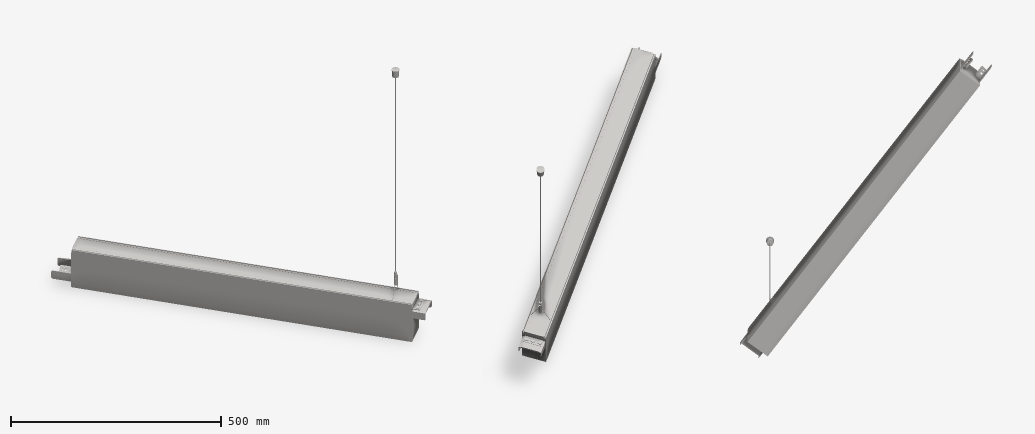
import cadquery as cq

TOTAL_LENGTH = 924.6
TOTAL_HEIGHT = 766.34

HOUSING_WIDTH = 60.0
HOUSING_HEIGHT = 108.5
BLADE_REACH = 50.0
CONNECTOR_REACH = 32.6
HOUSING_LENGTH = TOTAL_LENGTH - BLADE_REACH - CONNECTOR_REACH
SIDE_WALL = 2.0
GROOVE_WIDTH = 2.0
GROOVE_DEPTH = 6.0
LIP_WIDTH = 5.0
PANEL_RECESS = 0.5
END_PLATE = 1.0
END_PLATE_CHAMFER = 8.0

SHEET = 1.5
BRACKET_HALF_WIDTH = 28.0
BLADE_BOTTOM = 14.5
BLADE_TOP = 38.0
BLADE_CHAMFER = 3.0
FLANGE_LENGTH = 31.0
FLANGE_TOP = 47.5
FLANGE_OUTER_Y = 17.0
FLANGE_INNER_Y = 12.5
FLANGE_RELIEF_LENGTH = 5.0
FLANGE_CHAMFER = 2.0
BRACKET_HOLE_DIAMETER = 5.0
BRACKET_HOLE_X = -16.0
BRACKET_SLOT_X = -24.0
BRACKET_SLOT_WIDTH = 1.5
BRACKET_SLOT_LENGTH = 7.0

CONNECTOR_BOTTOM = 68.0
CONNECTOR_TOP = 91.0
CONNECTOR_SLOPE_DROP = 3.0
CONNECTOR_SLOPE_WIDTH = 9.0
CONNECTOR_NOSE_CHAMFER = 2.5
STRIP_LENGTH = 17.0
STRIP_WIDTH = 44.0
STRIP_HEIGHT = 1.0
TERMINAL_START = 7.0
TERMINAL_LENGTH = 6.0
TERMINAL_WIDTH = 10.0
TERMINAL_HEIGHT = 3.0
TERMINAL_PITCH = 16.0
TERMINAL_COUNT = 3

WIRE_FROM_END = 49.2
WIRE_X = HOUSING_LENGTH - WIRE_FROM_END
WIRE_DIAMETER = 1.5
LEG_DIAMETER = 1.2
CUP_DIAMETER = 16.0
CUP_RIM_DIAMETER = 20.0
CUP_HEIGHT = 20.0
CUP_RIM_HEIGHT = 2.0
CLAMP_BOTTOM = 138.0
CLAMP_SPLIT = 158.0
CLAMP_TOP = 169.0
CLAMP_DIAMETER = 8.5
CLAMP_UPPER_DIAMETER = 8.0
CLAMP_LEVER_REACH = 6.0
CLAMP_LEVER_WIDTH = 4.0
NECK_DIAMETER = 7.0
NECK_TOP = 176.0
LEG_START_Z = 145.0
LEG_SHOULDER_Y = 9.0
LEG_SHOULDER_Z = 140.0
LEG_FOOT_Y = HOUSING_WIDTH / 2 - SIDE_WALL - GROOVE_WIDTH - LEG_DIAMETER / 2


def box(x0, x1, y0, y1, z0, z1):
    """Axis-aligned box between two opposite corners."""
    return cq.Workplane("XY").box(x1 - x0, y1 - y0, z1 - z0, centered=False).translate((x0, y0, z0))


def cylinder(x, y, diameter, z0, z1):
    """Upright cylinder between two heights."""
    return cq.Workplane("XY", origin=(x, y, z0)).circle(diameter / 2).extrude(z1 - z0)


def rod(start, end, diameter):
    """Straight round rod with a ball at its start, so that rods join at bends."""
    start, end = cq.Vector(*start), cq.Vector(*end)
    axis = end - start
    solid = cq.Solid.makeCylinder(diameter / 2, axis.Length, start, axis)
    ball = cq.Workplane("XY").sphere(diameter / 2).translate(start.toTuple())
    return ball.union(cq.Workplane(solid))


def both_sides(solid):
    """The solid together with its mirror image about the mid plane Y = 0."""
    return solid.union(solid.mirror("XZ"))


def make_housing():
    """Long body with a wire groove along each top edge and a plate at each end."""
    half = HOUSING_WIDTH / 2
    groove_outer = half - SIDE_WALL
    groove_inner = groove_outer - GROOVE_WIDTH
    panel_half = groove_inner - LIP_WIDTH
    x0, x1 = END_PLATE, HOUSING_LENGTH - END_PLATE
    top = HOUSING_HEIGHT
    body = box(x0, x1, -half, half, 0, top)
    body = body.cut(box(x0, x1, -panel_half, panel_half, top - PANEL_RECESS, top))
    body = body.cut(both_sides(box(x0, x1, groove_inner, groove_outer, top - GROOVE_DEPTH, top)))
    for x in (0, x1):
        plate = box(x, x + END_PLATE, -half, half, 0, top)
        body = body.union(plate.edges("|X and >Z").chamfer(END_PLATE_CHAMFER))
    return body


def make_blade_brackets():
    """Pair of bent sheets: an upright blade, a sloping web and a level flange."""
    outer = BRACKET_HALF_WIDTH
    blade = box(-BLADE_REACH, 0, outer - SHEET, outer, BLADE_BOTTOM, BLADE_TOP)
    blade = blade.edges("|Y and <X").chamfer(BLADE_CHAMFER)
    shoulder = (
        cq.Workplane("YZ", origin=(-FLANGE_LENGTH, 0, 0))
        .moveTo(outer, BLADE_TOP)
        .lineTo(FLANGE_OUTER_Y, FLANGE_TOP)
        .lineTo(FLANGE_INNER_Y, FLANGE_TOP)
        .lineTo(FLANGE_INNER_Y, FLANGE_TOP - SHEET)
        .lineTo(FLANGE_OUTER_Y - SHEET / 2, FLANGE_TOP - SHEET)
        .lineTo(outer - SHEET, BLADE_TOP - SHEET)
        .lineTo(outer, BLADE_TOP - SHEET)
        .close()
        .extrude(FLANGE_LENGTH)
    )
    shoulder = shoulder.edges("|Z and <X and <Y").chamfer(FLANGE_CHAMFER)
    relief = box(
        -FLANGE_RELIEF_LENGTH, 0, FLANGE_INNER_Y, FLANGE_OUTER_Y - SHEET / 2, BLADE_TOP, FLANGE_TOP
    )
    hole_y = (outer + FLANGE_OUTER_Y) / 2
    hole = cylinder(BRACKET_HOLE_X, hole_y, BRACKET_HOLE_DIAMETER, BLADE_TOP - SHEET, FLANGE_TOP)
    slot = box(
        BRACKET_SLOT_X - BRACKET_SLOT_WIDTH / 2,
        BRACKET_SLOT_X + BRACKET_SLOT_WIDTH / 2,
        hole_y - BRACKET_SLOT_LENGTH / 2,
        hole_y + BRACKET_SLOT_LENGTH / 2,
        BLADE_TOP - SHEET,
        FLANGE_TOP,
    )
    return both_sides(blade.union(shoulder.cut(relief).cut(hole).cut(slot)))


def make_connector():
    """Channel open underneath, with a raised strip and a row of terminal blocks on top."""
    half = BRACKET_HALF_WIDTH
    top_half = half - CONNECTOR_SLOPE_WIDTH
    slope_foot = CONNECTOR_TOP - CONNECTOR_SLOPE_DROP
    x0, x1 = HOUSING_LENGTH, HOUSING_LENGTH + CONNECTOR_REACH
    profile = [
        (-half, CONNECTOR_BOTTOM),
        (-half, slope_foot),
        (-top_half, CONNECTOR_TOP),
        (top_half, CONNECTOR_TOP),
        (half, slope_foot),
        (half, CONNECTOR_BOTTOM),
    ]
    channel = cq.Workplane("YZ", origin=(x0, 0, 0)).polyline(profile).close().extrude(CONNECTOR_REACH)
    channel = channel.edges("|Y and >X and <Z").chamfer(CONNECTOR_NOSE_CHAMFER)
    inner_half = half - SHEET
    channel = channel.cut(box(x0, x1, -inner_half, inner_half, CONNECTOR_BOTTOM, slope_foot - SHEET))
    strip_half = STRIP_WIDTH / 2
    strip_top = CONNECTOR_TOP + STRIP_HEIGHT
    channel = channel.union(box(x0, x0 + STRIP_LENGTH, -strip_half, strip_half, slope_foot, strip_top))
    block_x0 = x0 + TERMINAL_START
    block_x1 = block_x0 + TERMINAL_LENGTH
    block_top = CONNECTOR_TOP + TERMINAL_HEIGHT
    for index in range(TERMINAL_COUNT):
        y0 = (index - (TERMINAL_COUNT - 1) / 2) * TERMINAL_PITCH - TERMINAL_WIDTH / 2
        channel = channel.union(box(block_x0, block_x1, y0, y0 + TERMINAL_WIDTH, slope_foot, block_top))
    return channel


def make_suspension():
    """Ceiling cup, long wire, clamp, and two wire legs spreading to the housing grooves."""
    cup = cylinder(WIRE_X, 0, CUP_DIAMETER, TOTAL_HEIGHT - CUP_HEIGHT, TOTAL_HEIGHT)
    rim = cylinder(WIRE_X, 0, CUP_RIM_DIAMETER, TOTAL_HEIGHT - CUP_RIM_HEIGHT, TOTAL_HEIGHT)
    wire = cylinder(WIRE_X, 0, WIRE_DIAMETER, CLAMP_TOP, TOTAL_HEIGHT - CUP_HEIGHT)
    neck = cylinder(WIRE_X, 0, NECK_DIAMETER, CLAMP_TOP, NECK_TOP)
    lower = cylinder(WIRE_X, 0, CLAMP_DIAMETER, CLAMP_BOTTOM, CLAMP_SPLIT)
    upper = cylinder(WIRE_X, 0, CLAMP_UPPER_DIAMETER, CLAMP_SPLIT, CLAMP_TOP)
    lever_half = CLAMP_LEVER_WIDTH / 2
    lever = box(WIRE_X, WIRE_X + CLAMP_LEVER_REACH, -lever_half, lever_half, CLAMP_BOTTOM, CLAMP_TOP)
    suspension = cup.union(rim).union(wire).union(neck).union(lower).union(upper).union(lever)
    centre = (WIRE_X, 0, LEG_START_Z)
    shoulder = (WIRE_X, LEG_SHOULDER_Y, LEG_SHOULDER_Z)
    foot = (WIRE_X, LEG_FOOT_Y, HOUSING_HEIGHT - LEG_DIAMETER)
    leg = rod(centre, shoulder, LEG_DIAMETER).union(rod(shoulder, foot, LEG_DIAMETER))
    return suspension.union(both_sides(leg))


result = make_housing().union(make_blade_brackets()).union(make_connector()).union(make_suspension())